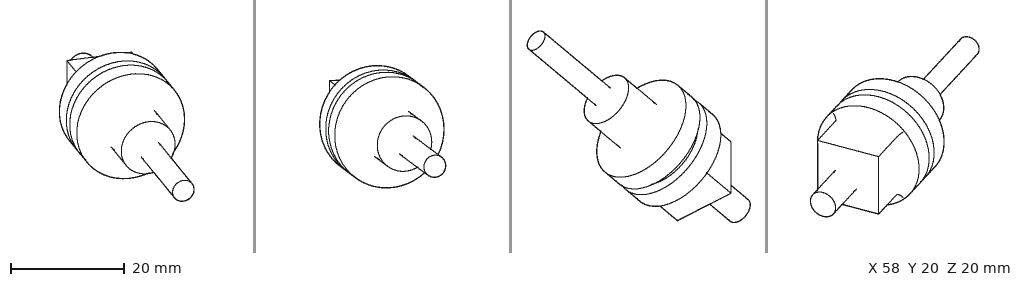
import cadquery as cq
import math

total_length = 58.0
front_stub_length = 10.0
square_length = 8.0
flange_width = 4.0
groove_width = 2.0
boss_length = 10.0

front_stub_diameter = 5.0
square_side = 12.0
flange_diameter = 20.0
groove_diameter = 16.0
boss_diameter = 10.0
rear_shaft_diameter = 4.0

fillet_radius = 1.0

front_end = -total_length / 2
square_start = front_end + front_stub_length
flange_start = square_start + square_length
groove_start = flange_start + flange_width
groove_end = groove_start + groove_width
flange_end = groove_end + flange_width
boss_end = flange_end + boss_length
rear_end = total_length / 2


def cylinder(start, end, diameter):
    """Round section along X between two stations."""
    return cq.Workplane("YZ", origin=(start, 0, 0)).circle(diameter / 2).extrude(end - start)


def fillet_arc(profile, start, end, centre):
    """Add the quarter arc that bulges towards the inside corner, away from its centre."""
    mid_x = (start[0] + end[0]) / 2 - centre[0]
    mid_y = (start[1] + end[1]) / 2 - centre[1]
    stretch = fillet_radius / math.hypot(mid_x, mid_y)
    middle = (centre[0] + mid_x * stretch, centre[1] + mid_y * stretch)
    return profile.threePointArc(middle, end)


def root_fillet(face, outward, diameter):
    """Concave ring where a shaft leaves a face; outward is the shaft's direction along X."""
    radius = diameter / 2
    tip = (face + outward * fillet_radius, radius)
    rim = (face, radius + fillet_radius)
    profile = cq.Workplane("XY").moveTo(face, 0).lineTo(tip[0], 0).lineTo(*tip)
    profile = fillet_arc(profile, tip, rim, (tip[0], rim[1])).close()
    return profile.revolve(360, (0, 0, 0), (1, 0, 0))


def flared_slab(plane):
    """Slab with the square's outline, flaring into the flange on two opposite sides."""
    half = square_side / 2
    flare_start = flange_start - fillet_radius
    flare_half = half + fillet_radius
    profile = cq.Workplane(plane).moveTo(square_start, -half).lineTo(square_start, half)
    profile = profile.lineTo(flare_start, half)
    profile = fillet_arc(profile, (flare_start, half), (flange_start, flare_half), (flare_start, flare_half))
    profile = profile.lineTo(flange_start, -flare_half)
    profile = fillet_arc(profile, (flange_start, -flare_half), (flare_start, -half), (flare_start, -flare_half))
    return profile.close().extrude(flare_half, both=True)


square_block = flared_slab("XY").intersect(flared_slab("XZ"))

flange = cylinder(flange_start, flange_end, flange_diameter)
groove = cylinder(groove_start, groove_end, flange_diameter).cut(
    cylinder(groove_start, groove_end, groove_diameter)
)
flange = flange.cut(groove)

front_stub = cylinder(front_end, square_start, front_stub_diameter).union(
    root_fillet(square_start, -1, front_stub_diameter)
)
boss = cylinder(flange_end, boss_end, boss_diameter).union(root_fillet(flange_end, 1, boss_diameter))
rear_shaft = cylinder(boss_end, rear_end, rear_shaft_diameter).union(
    root_fillet(boss_end, 1, rear_shaft_diameter)
)

result = front_stub.union(square_block).union(flange).union(boss).union(rear_shaft)